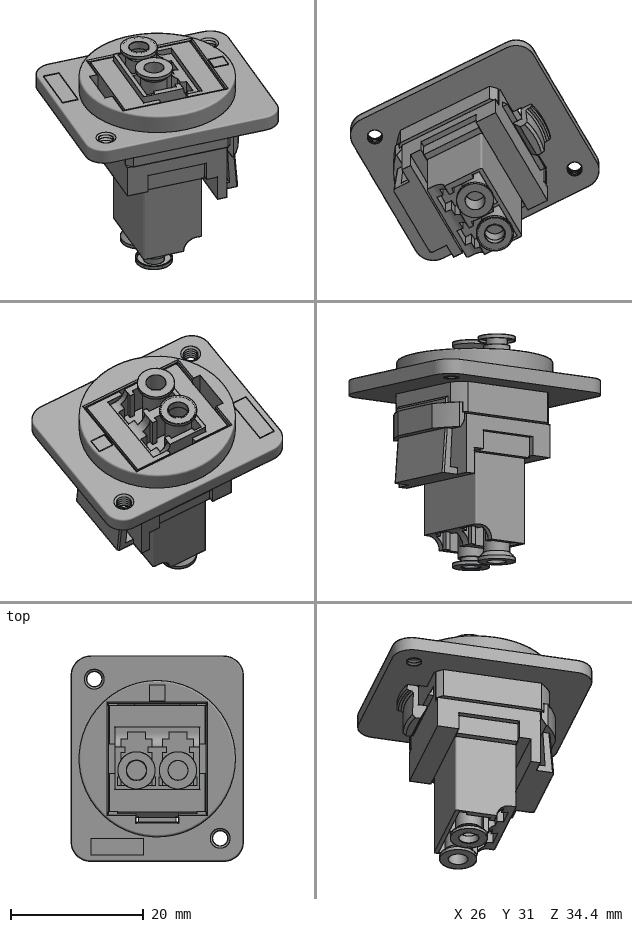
import cadquery as cq


PLATE_X = 26.0
PLATE_Y = 31.0
PLATE_T = 2.27
PLATE_CORNER_R = 3.0
PLATE_EDGE_R = 0.25
DISC_D = 23.6
DISC_TOP = 5.13
DISC_EDGE_R = 0.3

SCREW_X = 9.5
SCREW_Y = 12.0
THREAD_MINOR_D = 2.27
THREAD_MAJOR_D = 3.0
THREAD_PITCH = 0.48
THREAD_COUNT = 4

OPENING_X = 14.72
OPENING_Y = 16.65
OPENING_CHAMFER = 0.2

WALL_X = 17.27
WALL_BOTTOM = -4.65
WALL_ROUND_R = 11.52
WALL_ROUND_Y = 0.45
WALL_FRONT_Y = -8.12
WALL_BACK_Y = 9.87
LATCH_SEAT_Y = 8.65
LATCH_SEAT_Z = -3.15

CLIP_TOP_X = 6.2
CLIP_TIP_X = 5.35
CLIP_BACK_Y = -9.55
CLIP_OUTER_R = 10.8
CLIP_FOOT_R = 11.75
CLIP_FOOT_T = 0.75
CLIP_FOOT_BEVEL = 0.25
CLIP_BOTTOM = -5.45
CLIP_BEVEL = 0.45
CLIP_ROOT = 0.3
CLIP_TIP_T = 0.17
CLIP_TOE_Y = -9.22
CLIP_SLOT_X = 6.45
CLIP_SLOT_BACK_Y = -9.7

LABEL_DEPTH = 0.1
NAME_PLATE = (7.95, 2.5, -6.02, -13.28, PLATE_T)
MARK_PLATE = (2.37, 2.37, 0, 9.9, DISC_TOP)

KEY_TOP = 4.92
KEY_UPPER_X = 14.38
KEY_LOWER_X = 16.45
KEY_FRONT_Y = -8.0
KEY_BACK_Y = 8.05
KEY_SHOULDER = -4.8
KEY_BOTTOM = -9.87
SIDE_SLOT_Y = 4.4

TOOTH_X = 11.97
TOOTH_TOP = -1.55
TOOTH_BOTTOM = -3.15
TOOTH_TIP_Y = -8.85

LEG_T = 1.48
LEG_BOTTOM = -13.85
ARM_X = 11.9
ARM_BASE_T = 1.03
ARM_OUTER_BOTTOM_Y = 10.8
ARM_OUTER_TOP_Y = 10.2
ARM_INNER_BOTTOM_Y = 9.4
ARM_INNER_TOP_Y = 9.05
ARM_BEVEL = 0.25
ARM_RIB_X = 6.88
ARM_RIB_TOP = -8.4

HEAD_X = 16.03
HEAD_BACK_Y = 11.52
HEAD_ROUND_R = 12.25
HEAD_CATCH_Y = 8.25
HEAD_CATCH_BOTTOM = -5.78
HEAD_BOTTOM = -6.95
THUMB_Y = 0.48
THUMB_H = 1.05
THUMB_BEVEL = 0.38

ADAPTER_X = 12.8
ADAPTER_FRONT_Y = -4.68
ADAPTER_BACK_Y = 4.78
ADAPTER_TOP = 6.02
ADAPTER_EDGE_R = 0.28
MIDDLE_Z = -8.55

SCOOP_R = 2.03
SCOOP_AXIS_Y = 3.82

WING_X = 14.72
WING_TOP = -7.0
WING_BOTTOM = -10.1

PORT_X = 3.13
PORT_Y = -1.75
PORT_DEPTH = 5.15
PORT_FOOT_DEPTH = 3.45
PORT_WIDE_X = 4.75
PORT_NECK_X = 3.4
PORT_KEY_X = 2.72
PORT_FOOT_X = 5.78
PORT_BOTTOM_Y = -4.02
PORT_FOOT_TOP_Y = -2.8
PORT_NECK_BOTTOM_Y = 0.95
PORT_NECK_TOP_Y = 1.75
PORT_KEY_BOTTOM_Y = 3.0
PORT_KEY_TOP_Y = 4.02

COLLAR_D = 4.0
COLLAR_TOP = 7.25
RIM_D = 5.6
RIM_BOTTOM = 8.1
RIM_TOP = 8.65
RIM_HOLLOW = 0.38
RIM_WALL = 0.2
NECK_D = 3.2
BORE_D = 3.0
BORE_DEPTH = 3.45


def block(x_size, y_range, z_range, x_center=0):
    """Box centred on x_center, spanning the given (low, high) ranges in Y and Z."""
    y_low, y_high = y_range
    z_low, z_high = z_range
    return (
        cq.Workplane("XY", origin=(x_center, (y_low + y_high) / 2, z_low))
        .rect(x_size, y_high - y_low)
        .extrude(z_high - z_low)
    )


def side_profile(points, x_size):
    """Closed (y, z) outline extruded along X, symmetric about the YZ plane."""
    return cq.Workplane("YZ").polyline(points).close().extrude(x_size / 2, both=True)


def cylinder(radius, y, z_range):
    """Upright cylinder with its axis at x = 0."""
    z_low, z_high = z_range
    return cq.Workplane("XY", origin=(0, y, z_low)).circle(radius).extrude(z_high - z_low)


def turned(points, x, y):
    """Closed (radius, z) outline revolved about an upright axis at x, y."""
    return (
        cq.Workplane("XZ").polyline(points).close().revolve(360, (0, 0, 0), (0, 1, 0))
        .translate((x, y, 0))
    )


def threaded_hole(x, y):
    """Screw hole: a countersink at the top, then ring-shaped thread grooves down to the underside."""
    minor_r = THREAD_MINOR_D / 2
    major_r = THREAD_MAJOR_D / 2
    outline = [(0, PLATE_T), (major_r, PLATE_T)]
    z = PLATE_T - THREAD_PITCH / 2
    outline.append((minor_r, z))
    for _ in range(THREAD_COUNT):
        outline.append((major_r, z - THREAD_PITCH / 2))
        z -= THREAD_PITCH
        outline.append((minor_r, z))
    outline += [(minor_r, 0), (0, 0)]
    return turned(outline, x, y)


def socket_walls():
    """Walls below the plate that guide the keystone, open at the front and cut back for the latch."""
    round_trim = cylinder(WALL_ROUND_R, WALL_ROUND_Y, (WALL_BOTTOM, 0))
    walls = block(WALL_X, (WALL_FRONT_Y, WALL_BACK_Y), (WALL_BOTTOM, 0)).intersect(round_trim)
    latch_gap = block(WALL_X, (LATCH_SEAT_Y, WALL_BACK_Y), (WALL_BOTTOM, LATCH_SEAT_Z))
    hook_gap = block(KEY_UPPER_X, (0, LATCH_SEAT_Y), (WALL_BOTTOM, LATCH_SEAT_Z))
    return walls.cut(latch_gap).cut(hook_gap)


def spring_clip():
    """Hook below the plate that snaps under the keystone's tooth; it narrows towards its tip."""
    foot_bevel_z = -CLIP_FOOT_T - CLIP_FOOT_BEVEL
    curved_outside = turned(
        [
            (0, 0),
            (CLIP_FOOT_R, 0),
            (CLIP_FOOT_R, -CLIP_FOOT_T),
            (CLIP_FOOT_R - CLIP_FOOT_BEVEL, foot_bevel_z),
            (CLIP_OUTER_R + CLIP_ROOT, foot_bevel_z),
            (CLIP_OUTER_R, foot_bevel_z - CLIP_ROOT),
            (CLIP_OUTER_R, CLIP_BOTTOM + CLIP_BEVEL),
            (CLIP_OUTER_R - CLIP_BEVEL, CLIP_BOTTOM),
            (0, CLIP_BOTTOM),
        ],
        0,
        0,
    )
    hooked_inside = side_profile(
        [
            (CLIP_BACK_Y, 0),
            (CLIP_BACK_Y, TOOTH_BOTTOM),
            (WALL_FRONT_Y, TOOTH_BOTTOM),
            (WALL_FRONT_Y, TOOTH_BOTTOM - CLIP_TIP_T),
            (CLIP_TOE_Y, CLIP_BOTTOM),
            (-CLIP_FOOT_R, CLIP_BOTTOM),
            (-CLIP_FOOT_R, 0),
        ],
        CLIP_TOP_X,
    )
    tapered_sides = (
        cq.Workplane("XZ")
        .polyline(
            [
                (-CLIP_TOP_X / 2, 0),
                (CLIP_TOP_X / 2, 0),
                (CLIP_TIP_X / 2, CLIP_BOTTOM),
                (-CLIP_TIP_X / 2, CLIP_BOTTOM),
            ]
        )
        .close()
        .extrude(CLIP_FOOT_R)
    )
    return hooked_inside.intersect(curved_outside).intersect(tapered_sides)


def label_recess(width, height, x, y, surface_z):
    """Shallow rectangular panel sunk into an upper face."""
    y_range = (y - height / 2, y + height / 2)
    return block(width, y_range, (surface_z - LABEL_DEPTH, surface_z), x)


def make_flange():
    plate = (
        block(PLATE_X, (-PLATE_Y / 2, PLATE_Y / 2), (0, PLATE_T))
        .edges("|Z").fillet(PLATE_CORNER_R)
        .faces(">Z").edges().fillet(PLATE_EDGE_R)
    )
    disc = cylinder(DISC_D / 2, 0, (0, DISC_TOP)).faces(">Z").edges().fillet(DISC_EDGE_R)
    flange = plate.union(disc).union(socket_walls())

    opening = block(OPENING_X, (-OPENING_Y / 2, OPENING_Y / 2), (WALL_BOTTOM, DISC_TOP))
    opening_bevel = (
        cq.Workplane("XY", origin=(0, 0, DISC_TOP - OPENING_CHAMFER))
        .rect(OPENING_X, OPENING_Y)
        .workplane(offset=OPENING_CHAMFER)
        .rect(OPENING_X + 2 * OPENING_CHAMFER, OPENING_Y + 2 * OPENING_CHAMFER)
        .loft(ruled=True)
    )
    clip_slot = block(CLIP_SLOT_X, (CLIP_SLOT_BACK_Y, 0), (0, DISC_TOP))
    flange = flange.cut(opening).cut(opening_bevel).cut(clip_slot)

    for x, y in [(-SCREW_X, SCREW_Y), (SCREW_X, -SCREW_Y)]:
        flange = flange.cut(threaded_hole(x, y))
    for label in (NAME_PLATE, MARK_PLATE):
        flange = flange.cut(label_recess(*label))
    return flange.union(spring_clip())


def tooth():
    """Ramp-topped tooth on the front face that the flange's clip holds from below."""
    return side_profile(
        [
            (KEY_FRONT_Y, TOOTH_TOP),
            (TOOTH_TIP_Y, TOOTH_BOTTOM),
            (KEY_FRONT_Y, TOOTH_BOTTOM),
        ],
        TOOTH_X,
    )


def latch_arm():
    """Flexible arm that rises from the foot of the rear leg, with a stiffening rib inside the bend."""
    base_top = LEG_BOTTOM + ARM_BASE_T
    arm = side_profile(
        [
            (KEY_BACK_Y, LEG_BOTTOM),
            (ARM_OUTER_BOTTOM_Y, LEG_BOTTOM),
            (ARM_OUTER_TOP_Y, HEAD_BOTTOM),
            (ARM_INNER_TOP_Y, HEAD_BOTTOM),
            (ARM_INNER_BOTTOM_Y, base_top),
            (KEY_BACK_Y, base_top),
        ],
        ARM_X,
    )
    arm = arm.faces(">Y").edges("not |X").chamfer(ARM_BEVEL)
    rib = block(ARM_RIB_X, (KEY_BACK_Y, ARM_INNER_BOTTOM_Y), (base_top, ARM_RIB_TOP))
    return arm.union(rib)


def latch_head():
    """Head of the latch arm: it hooks under the socket walls and has a rounded back."""
    head = side_profile(
        [
            (HEAD_BACK_Y, LATCH_SEAT_Z),
            (LATCH_SEAT_Y, LATCH_SEAT_Z),
            (LATCH_SEAT_Y, WALL_BOTTOM),
            (HEAD_CATCH_Y, WALL_BOTTOM),
            (HEAD_CATCH_Y, HEAD_CATCH_BOTTOM),
            (ARM_INNER_TOP_Y, HEAD_BOTTOM),
            (HEAD_BACK_Y, HEAD_BOTTOM),
        ],
        HEAD_X,
    )
    rounded_back = cylinder(HEAD_ROUND_R, 0, (HEAD_BOTTOM, LATCH_SEAT_Z))
    thumb_pad = (
        block(ARM_X, (WALL_BACK_Y, WALL_BACK_Y + THUMB_Y), (LATCH_SEAT_Z, LATCH_SEAT_Z + THUMB_H))
        .edges(">Y and >Z").chamfer(THUMB_BEVEL)
    )
    return head.intersect(rounded_back).union(thumb_pad)


def make_keystone():
    upper = block(KEY_UPPER_X, (KEY_FRONT_Y, KEY_BACK_Y), (KEY_SHOULDER, KEY_TOP))
    lower = block(KEY_LOWER_X, (KEY_FRONT_Y, KEY_BACK_Y), (KEY_BOTTOM, KEY_SHOULDER))
    leg = block(KEY_LOWER_X, (KEY_BACK_Y - LEG_T, KEY_BACK_Y), (LEG_BOTTOM, KEY_BOTTOM))
    frame = upper.union(lower).union(leg)

    adapter_y = (ADAPTER_FRONT_Y, ADAPTER_BACK_Y)
    adapter_hole = block(ADAPTER_X, adapter_y, (KEY_BOTTOM, KEY_TOP))
    wing_notches = block(KEY_LOWER_X, adapter_y, (KEY_BOTTOM, WING_TOP))
    slot_y = (-SIDE_SLOT_Y / 2, SIDE_SLOT_Y / 2)
    side_slots = block(KEY_UPPER_X, slot_y, (KEY_SHOULDER, KEY_TOP))
    frame = frame.cut(adapter_hole).cut(wing_notches).cut(side_slots)
    return frame.union(tooth()).union(latch_arm()).union(latch_head())


def port_recess(x):
    """Connector recess in the end face, keyed at the back, with a shallower, wider foot at the front."""
    bands = [
        (PORT_WIDE_X, PORT_BOTTOM_Y, PORT_NECK_BOTTOM_Y),
        (PORT_NECK_X, PORT_NECK_BOTTOM_Y, PORT_NECK_TOP_Y),
        (PORT_WIDE_X, PORT_NECK_TOP_Y, PORT_KEY_BOTTOM_Y),
        (PORT_KEY_X, PORT_KEY_BOTTOM_Y, PORT_KEY_TOP_Y),
    ]
    z_range = (ADAPTER_TOP - PORT_DEPTH, ADAPTER_TOP)
    foot_z_range = (ADAPTER_TOP - PORT_FOOT_DEPTH, ADAPTER_TOP)
    recess = block(PORT_FOOT_X, (PORT_BOTTOM_Y, PORT_FOOT_TOP_Y), foot_z_range, x)
    for width, y_low, y_high in bands:
        recess = recess.union(block(width, (y_low, y_high), z_range, x))
    return recess


def ferrule(x, waist):
    """Rimmed sleeve standing in a port, with the (radius, z) points that join its collar to its rim."""
    bore_r = BORE_D / 2
    outline = [
        (0, ADAPTER_TOP - PORT_DEPTH),
        (COLLAR_D / 2, ADAPTER_TOP - PORT_DEPTH),
        (COLLAR_D / 2, COLLAR_TOP),
        *waist,
        (RIM_D / 2, RIM_BOTTOM),
        (RIM_D / 2, RIM_TOP),
        (bore_r, RIM_TOP),
        (bore_r, RIM_TOP - BORE_DEPTH),
        (0, RIM_TOP - BORE_DEPTH),
    ]
    return turned(outline, x, PORT_Y)


def adapter_end():
    """Upper half of the adapter, from its middle plane up."""
    half = (
        block(ADAPTER_X, (ADAPTER_FRONT_Y, ADAPTER_BACK_Y), (MIDDLE_Z, ADAPTER_TOP))
        .edges("|Z").fillet(ADAPTER_EDGE_R)
    )
    scoop = (
        cq.Workplane("YZ", origin=(0, SCOOP_AXIS_Y, ADAPTER_TOP))
        .circle(SCOOP_R)
        .extrude(ADAPTER_X / 2, both=True)
    )
    back_step = block(
        ADAPTER_X, (SCOOP_AXIS_Y, ADAPTER_BACK_Y), (ADAPTER_TOP - SCOOP_R, ADAPTER_TOP)
    )
    half = half.cut(scoop).cut(back_step)

    hollow_r = RIM_D / 2 - RIM_WALL
    hollow_top = RIM_BOTTOM + RIM_HOLLOW
    stepped_waist = [
        (NECK_D / 2, COLLAR_TOP),
        (NECK_D / 2, hollow_top),
        (hollow_r, hollow_top),
        (hollow_r, RIM_BOTTOM),
    ]
    conical_waist = []
    for x, waist in [(-PORT_X, stepped_waist), (PORT_X, conical_waist)]:
        half = half.cut(port_recess(x)).union(ferrule(x, waist))
    return half


def make_adapter():
    end = adapter_end()
    other_end = end.rotate((0, 0, MIDDLE_Z), (0, 1, MIDDLE_Z), 180)
    wings = block(WING_X, (ADAPTER_FRONT_Y, ADAPTER_BACK_Y), (WING_BOTTOM, WING_TOP))
    return end.union(other_end).union(wings)


flange = make_flange()
adapter = make_adapter()
keystone = make_keystone()

bodies = [flange, keystone, adapter]
result = cq.Compound.makeCompound([body.solids().val() for body in bodies])